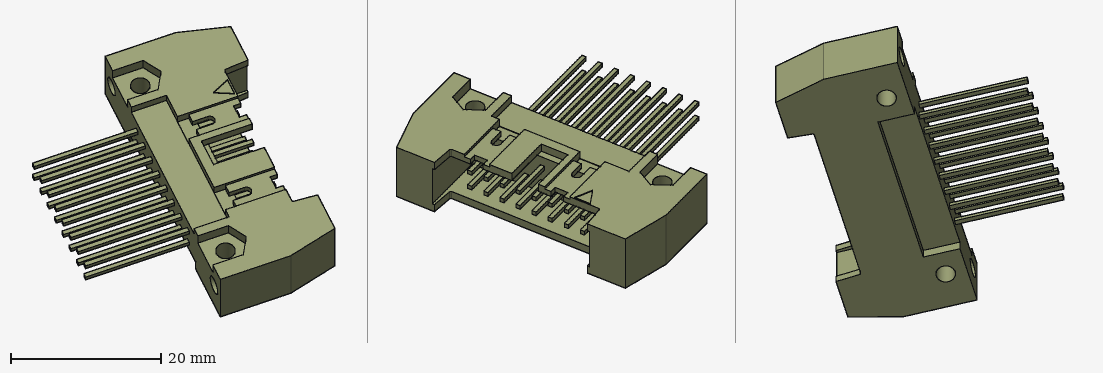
import cadquery as cq
import math


PIN_COLUMNS = 8
PIN_ROW_LENGTH = 17.75
PIN_PITCH = PIN_ROW_LENGTH / (PIN_COLUMNS - 1)
PIN_ROWS = 2
PIN_SIZE = 0.65
PIN_TAIL = 14.95
PIN_TIP_Y = 13.55

BODY_WIDTH = 39.9
BODY_HEIGHT = 8.5
ARM_TIP_Y = 17.35
MOUTH_Y = 13.8
TAPER_START_Y = 10.17
ARM_TIP_OUTER_X = 18.05
ARM_TIP_INNER_X = 12.05
ARM_ROOT_INNER_X = 11.77
ARM_ROOT_FILLET = 0.2

WALL = 1.25
CAVITY_HALF_WIDTH = 12.35
CAVITY_BACK_Y = 7.45
CAVITY_TOP = BODY_HEIGHT - WALL

RECESS_LENGTH = 5.05
TOP_RECESS_WIDTH = 21.7
TOP_RECESS_DEPTH = 1.15
BOTTOM_RECESS_WIDTH = 22.65
BOTTOM_RECESS_DEPTH = 1.55

KEYWAY_WIDTH = 4.2
KEYWAY_BACK_Y = 6.45
GROOVE_CENTRES = (-2 * PIN_PITCH, 3 * PIN_PITCH)
GROOVE_WIDTH = 3.95
GROOVE_DEPTH = 0.4
GROOVE_STEP_Y = 6.7
SLOT_WIDTH = 1.4
SLOT_END_Y = 9.6
EDGE_NOTCH_WIDTH = 2.0
EDGE_NOTCH_LENGTH = 1.05

HOLE_DIAMETER = 2.6
MOUNT_X = 14.75
MOUNT_Y = 2.9
NUT_ACROSS_FLATS = 5.2
NUT_POCKET_DEPTH = 1.65

REAR_HOLE_X = 17.75
REAR_HOLE_Z = 4.43
REAR_HOLE_DEPTH = 4.8

MARK_WIDTH = 2.47
MARK_BASE_Y = 13.55
MARK_POINT_Y = 11.0
MARK_DEPTH = 0.1


def box(x_centre, width, y_start, y_end, z_start, z_end):
    """Box centred on x_centre and spanning the given Y and Z ranges."""
    size = (width, y_end - y_start, z_end - z_start)
    base = (x_centre, y_start, z_start)
    return cq.Workplane("XY", origin=base).box(*size, centered=(True, False, False))


def make_shell():
    """Prism with two tapered latch arms, hollowed from the +Y side."""
    right_half = [
        (BODY_WIDTH / 2, 0),
        (BODY_WIDTH / 2, TAPER_START_Y),
        (ARM_TIP_OUTER_X, ARM_TIP_Y),
        (ARM_TIP_INNER_X, ARM_TIP_Y),
        (ARM_ROOT_INNER_X, MOUTH_Y),
    ]
    left_half = [(-x, y) for x, y in reversed(right_half)]
    shell = cq.Workplane("XY").polyline(right_half + left_half).close().extrude(BODY_HEIGHT)
    root_edges = cq.selectors.BoxSelector(
        (-ARM_ROOT_INNER_X - ARM_ROOT_FILLET, MOUTH_Y - ARM_ROOT_FILLET, 0),
        (ARM_ROOT_INNER_X + ARM_ROOT_FILLET, MOUTH_Y + ARM_ROOT_FILLET, BODY_HEIGHT),
    )
    shell = shell.edges("|Z").edges(root_edges).fillet(ARM_ROOT_FILLET)
    return shell.cut(box(0, 2 * CAVITY_HALF_WIDTH, CAVITY_BACK_Y, ARM_TIP_Y, WALL, CAVITY_TOP))


def cut_rear_recesses(body):
    """Shallow steps in the top and bottom faces, open to the rear face."""
    top_floor = BODY_HEIGHT - TOP_RECESS_DEPTH
    body = body.cut(box(0, TOP_RECESS_WIDTH, 0, RECESS_LENGTH, top_floor, BODY_HEIGHT))
    return body.cut(box(0, BOTTOM_RECESS_WIDTH, 0, RECESS_LENGTH, 0, BOTTOM_RECESS_DEPTH))


def groove_cutter(x_centre):
    """Groove in the top wall with a deep rear step, a round-ended slot and a mouth notch."""
    groove_floor = BODY_HEIGHT - GROOVE_DEPTH
    slot_radius = SLOT_WIDTH / 2
    slot_round_y = SLOT_END_Y - slot_radius
    groove = box(x_centre, GROOVE_WIDTH, RECESS_LENGTH, MOUTH_Y, groove_floor, BODY_HEIGHT)
    step = box(x_centre, GROOVE_WIDTH, RECESS_LENGTH, GROOVE_STEP_Y, CAVITY_TOP, BODY_HEIGHT)
    slot = box(x_centre, SLOT_WIDTH, RECESS_LENGTH, slot_round_y, CAVITY_TOP, BODY_HEIGHT)
    slot_end_base = (x_centre, slot_round_y, CAVITY_TOP)
    slot_end = cq.Workplane("XY", origin=slot_end_base).circle(slot_radius).extrude(WALL)
    notch_start = MOUTH_Y - EDGE_NOTCH_LENGTH
    notch = box(x_centre, EDGE_NOTCH_WIDTH, notch_start, MOUTH_Y, CAVITY_TOP, BODY_HEIGHT)
    return groove.union(step).union(slot).union(slot_end).union(notch)


def cut_top_openings(body):
    """Polarising keyway and the two latch grooves in the top wall."""
    body = body.cut(box(0, KEYWAY_WIDTH, KEYWAY_BACK_Y, MOUTH_Y, CAVITY_TOP, BODY_HEIGHT))
    for x_centre in GROOVE_CENTRES:
        body = body.cut(groove_cutter(x_centre))
    return body


def cut_mounting(body, side):
    """Through hole with a nut pocket open to the rear face, plus a blind rear hole, at one end."""
    x = side * MOUNT_X
    pocket_floor = BODY_HEIGHT - NUT_POCKET_DEPTH
    hole = cq.Workplane("XY", origin=(x, MOUNT_Y, 0)).circle(HOLE_DIAMETER / 2).extrude(BODY_HEIGHT)
    half_width = NUT_ACROSS_FLATS / 2
    corner_radius = half_width / math.cos(math.radians(30))
    shoulder_y = MOUNT_Y + corner_radius / 2
    pocket_outline = [
        (x - half_width, 0),
        (x + half_width, 0),
        (x + half_width, shoulder_y),
        (x, MOUNT_Y + corner_radius),
        (x - half_width, shoulder_y),
    ]
    nut_pocket = (
        cq.Workplane("XY", origin=(0, 0, pocket_floor))
        .polyline(pocket_outline)
        .close()
        .extrude(NUT_POCKET_DEPTH)
    )
    rear_hole = (
        cq.Workplane("XZ", origin=(side * REAR_HOLE_X, 0, REAR_HOLE_Z))
        .circle(HOLE_DIAMETER / 2)
        .extrude(-REAR_HOLE_DEPTH)
    )
    return body.cut(hole).cut(nut_pocket).cut(rear_hole)


def column_x(column):
    """X position of a pin column, counted from the -X end."""
    return (column - (PIN_COLUMNS - 1) / 2) * PIN_PITCH


def cut_pin_one_mark(body):
    """Triangle engraved in the top face above the first pin column, pointing to the rear."""
    x = column_x(0)
    corners = [(x - MARK_WIDTH / 2, MARK_BASE_Y), (x + MARK_WIDTH / 2, MARK_BASE_Y), (x, MARK_POINT_Y)]
    mark = cq.Workplane("XY", origin=(0, 0, BODY_HEIGHT)).polyline(corners).close().extrude(-MARK_DEPTH)
    return body.cut(mark)


def add_pins(body):
    """Square pins running from the tail ends through the rear wall into the cavity."""
    for row in range(PIN_ROWS):
        z_start = BODY_HEIGHT / 2 + (row - (PIN_ROWS - 1) / 2) * PIN_PITCH - PIN_SIZE / 2
        for column in range(PIN_COLUMNS):
            pin = box(column_x(column), PIN_SIZE, -PIN_TAIL, PIN_TIP_Y, z_start, z_start + PIN_SIZE)
            body = body.union(pin)
    return body


body = make_shell()
body = cut_rear_recesses(body)
body = cut_top_openings(body)
for end in (-1, 1):
    body = cut_mounting(body, end)
body = cut_pin_one_mark(body)
result = add_pins(body)